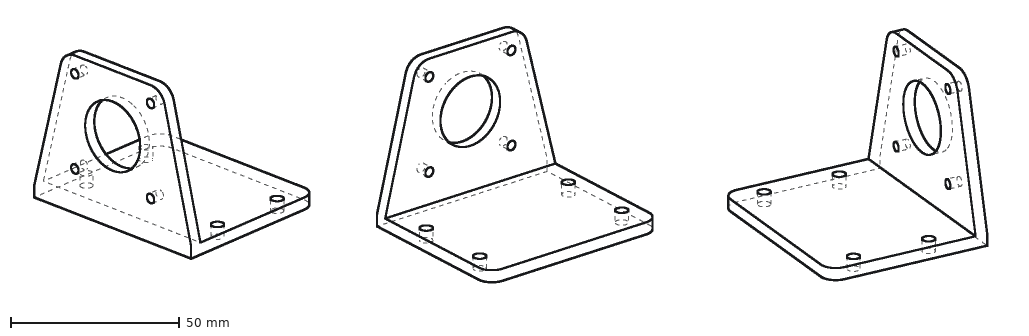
import cadquery as cq
import math

width = 64.3
depth = 54.0
height = 51.45
thickness = 4.0

bore_diameter = 22.5
mount_spacing = 31.0
mount_hole_diameter = 3.0
shoulder_radius = 6.0

shoulder_x = mount_spacing / 2
shoulder_z = height - shoulder_radius
bore_z = shoulder_z - mount_spacing / 2

base_corner_radius = 5.0
base_hole_diameter = 4.0
base_hole_spacing_x = 53.6
base_hole_spacing_y = 25.7
base_hole_front_y = 17.0


def shoulder_point(angle):
    """Point on the right shoulder arc, at an angle measured from +X."""
    x = shoulder_x + shoulder_radius * math.cos(angle)
    z = shoulder_z + shoulder_radius * math.sin(angle)
    return x, z


def mirrored(point):
    return -point[0], point[1]


def make_base():
    base_hole_y = base_hole_front_y + base_hole_spacing_y / 2
    plate = (
        cq.Workplane("XY")
        .box(width, depth, thickness, centered=(True, False, False))
        .edges("|Z and >Y")
        .fillet(base_corner_radius)
    )
    holes = (
        cq.Workplane("XY")
        .center(0, base_hole_y)
        .rarray(base_hole_spacing_x, base_hole_spacing_y, 2, 2)
        .circle(base_hole_diameter / 2)
        .extrude(thickness)
    )
    return plate.cut(holes)


def make_upright():
    run = width / 2 - shoulder_x
    drop = thickness - shoulder_z
    tangent_angle = math.atan2(drop, run) + math.acos(shoulder_radius / math.hypot(run, drop))
    tangent = shoulder_point(tangent_angle)
    arc_middle = shoulder_point((tangent_angle + math.pi / 2) / 2)
    arc_top = shoulder_point(math.pi / 2)

    front = cq.Workplane("XZ")
    plate = (
        front.moveTo(-width / 2, 0)
        .lineTo(width / 2, 0)
        .lineTo(width / 2, thickness)
        .lineTo(*tangent)
        .threePointArc(arc_middle, arc_top)
        .lineTo(*mirrored(arc_top))
        .threePointArc(mirrored(arc_middle), mirrored(tangent))
        .lineTo(-width / 2, thickness)
        .close()
        .extrude(-thickness)
    )
    bore = front.center(0, bore_z).circle(bore_diameter / 2).extrude(-thickness)
    mount_holes = (
        front.center(0, bore_z)
        .rarray(mount_spacing, mount_spacing, 2, 2)
        .circle(mount_hole_diameter / 2)
        .extrude(-thickness)
    )
    return plate.cut(bore).cut(mount_holes)


result = make_base().union(make_upright())